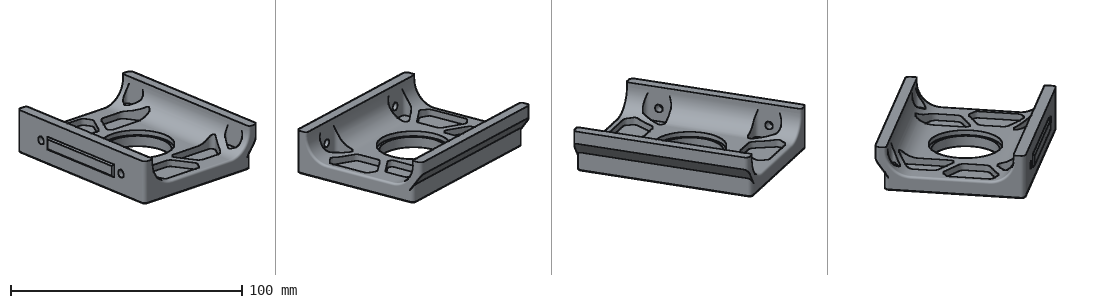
import cadquery as cq
import math

length = 82.0
depth = 66.0
height = 20.0
front_y = -depth / 2
back_y = depth / 2
corner_radius = 2.0
bottom_chamfer = 0.6

overhang = 4.1
base_back_y = back_y - overhang
slope_start_z = 8.7
slope_end_z = 14.35

front_wall = 5.25
back_wall = 5.0
channel_front_y = front_y + front_wall
channel_back_y = back_y - back_wall
channel_radius = 10.75
floor_z = 7.05
rim_radius = 1.1

hole_diameter = 29.5
counterbore_diameter = 32.0
counterbore_depth = 2.2

pocket_pitch = 43.2
tip_radius = 2.0
inner_far_radius = 3.45
outer_near_radius = 2.95
outer_far_radius = 2.3
front_wall_corner_radius = 1.8
back_wall_corner_radius = 1.3
back_tip_radius = 0.9
pocket_floor_z = 4.0
short_side_half = 6.1
pocket_slope_angle = 30
pocket_slope = math.tan(math.radians(pocket_slope_angle))

inner_near_x = 19.35
inner_far_x = 32.15
inner_mid_y = 13.6
inner_tip_half = short_side_half + (inner_far_x - inner_near_x) * pocket_slope

outer_near_x = 22.4
outer_peak_x = 33.45
outer_far_x = 37.9
outer_mid_y = inner_mid_y - pocket_pitch / 2
outer_peak_half = short_side_half + (outer_peak_x - outer_near_x) * pocket_slope
outer_far_half = outer_peak_half - (outer_far_x - outer_peak_x) * pocket_slope

back_pocket_far_x = 37.3
back_pocket_floor_z = 7.5

pad_length = 43.0
pad_height = 6.0
pad_thickness = 0.8
pad_chamfer = 0.7
feature_z = height / 2
screw_hole_diameter = 3.5
screw_hole_depth = 2 * front_wall
screw_hole_x = (inner_near_x + inner_far_x) / 2


def block(y_start, y_end, z_top):
    """Full-length block standing on Z = 0."""
    blank = cq.Workplane("XY").box(length, y_end - y_start, z_top, centered=(True, False, False))
    return blank.translate((0, y_start, 0))


def side_profile(points):
    """Closed Y-Z outline extruded over the whole length."""
    return cq.Workplane("YZ").polyline(points).close().extrude(length / 2, both=True)


def make_body():
    base = block(front_y, base_back_y, height).edges("|Z").fillet(corner_radius)
    base = base.faces("<Z").chamfer(bottom_chamfer)

    rise_per_run = (slope_end_z - slope_start_z) / overhang
    lip_bottom_y = base_back_y - corner_radius
    lip_bottom_z = slope_start_z - corner_radius * rise_per_run
    lip_space = side_profile(
        [
            (0, lip_bottom_z),
            (lip_bottom_y, lip_bottom_z),
            (back_y, slope_end_z),
            (back_y, height),
            (0, height),
        ]
    )
    lip = block(0, back_y, height).edges("|Z and >Y").fillet(corner_radius)
    return base.union(lip.intersect(lip_space))


def cut_channel(body):
    channel = block(channel_front_y, channel_back_y, height).translate((0, 0, floor_z))
    channel = channel.edges("|X and <Z").fillet(channel_radius)
    body = body.cut(channel)

    margin = 0.1
    end_edges = []
    for end_x in (-length / 2, length / 2):
        rim_box = cq.selectors.BoxSelector(
            (end_x - margin, channel_front_y - margin, floor_z - margin),
            (end_x + margin, channel_back_y + margin, height - margin),
            boundingbox=True,
        )
        end_edges += body.edges(rim_box).vals()
    return body.newObject(end_edges).fillet(rim_radius)


def rounded_outline(corners):
    """Closed outline through (x, y, radius) corners, each rounded by its own radius."""
    points = [cq.Vector(x, y) for x, y, _ in corners]
    outline = cq.Workplane("XY")
    for i, corner in enumerate(points):
        radius = corners[i][2]
        to_last = (points[i - 1] - corner).normalized()
        to_next = (points[(i + 1) % len(points)] - corner).normalized()
        half_angle = to_last.getAngle(to_next) / 2
        setback = radius / math.tan(half_angle)
        arc_depth = radius / math.sin(half_angle) - radius
        arc_start = (corner + to_last * setback).toTuple()[:2]
        arc_middle = (corner + (to_last + to_next).normalized() * arc_depth).toTuple()[:2]
        arc_end = (corner + to_next * setback).toTuple()[:2]
        if i == 0:
            outline = outline.moveTo(*arc_start)
        else:
            outline = outline.lineTo(*arc_start)
        outline = outline.threePointArc(arc_middle, arc_end)
    return outline.close()


def cut_pocket_pair(body, corners, bottom_z):
    """Cut a pocket on the +X side and its mirror image on the -X side."""
    pocket = rounded_outline(corners).extrude(height).translate((0, 0, bottom_z))
    return body.cut(pocket).cut(pocket.mirror("YZ"))


def cut_pockets(body):
    inner_pocket = [
        (inner_near_x, inner_mid_y - inner_tip_half, tip_radius),
        (inner_far_x, inner_mid_y - short_side_half, inner_far_radius),
        (inner_far_x, inner_mid_y + short_side_half, inner_far_radius),
        (inner_near_x, inner_mid_y + inner_tip_half, tip_radius),
    ]
    outer_pocket = [
        (outer_near_x, outer_mid_y - short_side_half, outer_near_radius),
        (outer_peak_x, outer_mid_y - outer_peak_half, outer_far_radius),
        (outer_far_x, outer_mid_y - outer_far_half, outer_far_radius),
        (outer_far_x, outer_mid_y + outer_far_half, outer_far_radius),
        (outer_peak_x, outer_mid_y + outer_peak_half, outer_far_radius),
        (outer_near_x, outer_mid_y + short_side_half, outer_near_radius),
    ]

    front_mid_y = inner_mid_y - pocket_pitch
    front_pocket = [
        (inner_near_x, channel_front_y, front_wall_corner_radius),
        (inner_far_x, channel_front_y, front_wall_corner_radius),
        (inner_far_x, front_mid_y + short_side_half, inner_far_radius),
        (inner_near_x, front_mid_y + inner_tip_half, tip_radius),
    ]
    back_peak_y = outer_mid_y + pocket_pitch - outer_peak_half
    back_near_x = outer_peak_x - (channel_back_y - back_peak_y) / pocket_slope
    back_far_y = back_peak_y + (back_pocket_far_x - outer_peak_x) * pocket_slope
    back_pocket = [
        (back_near_x, channel_back_y, back_tip_radius),
        (outer_peak_x, back_peak_y, outer_far_radius),
        (back_pocket_far_x, back_far_y, outer_far_radius),
        (back_pocket_far_x, channel_back_y, back_wall_corner_radius),
    ]

    body = cut_pocket_pair(body, inner_pocket, pocket_floor_z)
    body = cut_pocket_pair(body, outer_pocket, pocket_floor_z)
    body = cut_pocket_pair(body, front_pocket, pocket_floor_z)
    return cut_pocket_pair(body, back_pocket, back_pocket_floor_z)


def cut_center_hole(body):
    hole = cq.Workplane("XY").circle(hole_diameter / 2).extrude(height)
    counterbore = cq.Workplane("XY").circle(counterbore_diameter / 2).extrude(height)
    return body.cut(hole).cut(counterbore.translate((0, 0, floor_z - counterbore_depth)))


def add_front_details(body):
    pad = cq.Workplane("XZ", origin=(0, front_y, feature_z)).rect(pad_length, pad_height).extrude(pad_thickness)
    body = body.union(pad.faces("<Y").chamfer(pad_chamfer))
    screw_holes = (
        cq.Workplane("XZ", origin=(0, front_y, feature_z))
        .pushPoints([(-screw_hole_x, 0), (screw_hole_x, 0)])
        .circle(screw_hole_diameter / 2)
        .extrude(-screw_hole_depth)
    )
    return body.cut(screw_holes)


result = make_body()
result = cut_channel(result)
result = cut_pockets(result)
result = cut_center_hole(result)
result = add_front_details(result)